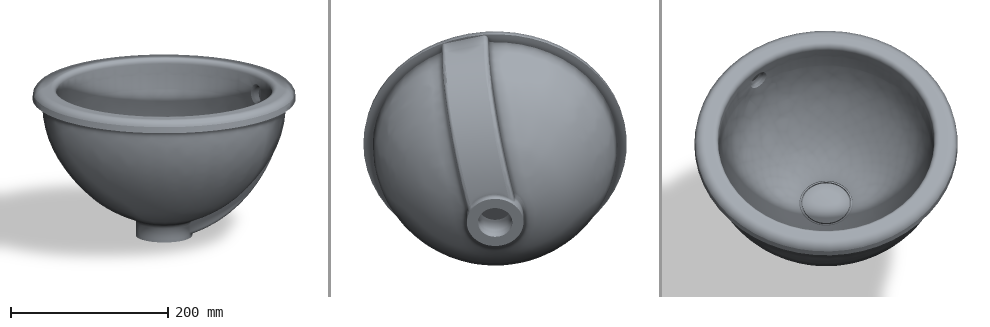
import cadquery as cq
import math

rim_radius = 167.5
rim_top = 195.0
rim_bottom = 180.0
rim_edge_top = 187.5
rim_edge_radius = 166.5
rim_flat_outer = 155.5

outer_radius = 155.5
wall = 18.0
inner_radius = outer_radius - wall
lip_radius = 6.7
rim_flat_inner = inner_radius + lip_radius
lip_bottom = rim_top - lip_radius
bend_angle = math.radians(42.5)
mid_angle = (math.pi / 2 + bend_angle) / 2
foot_angle = math.radians(22)
straight_down = (0, -1)
foot_direction = (-math.cos(foot_angle), -math.sin(foot_angle))

tail_radius = 72.0 / 2
neck_radius = 39.0
neck_top = 23.5
neck_bottom = 18.8
tail_bore = 52.0

channel_width = 60.3
channel_radius = 161.8
channel_center_z = 164.0
channel_top_y = 164.0
channel_rounding = 5.0
joint_rounding = 2.7
hole_diameter = 20.0
hole_mouth_diameter = 25.5
hole_z = 167.0
hole_depth = 9.0
mouth_depth = 2.5
mouth_lead = 1.0

flange_radius = 34.0
flange_top = 41.5
flange_thickness = 5.5
flange_chamfer = 1.0
seat_radius = 31.8
seat_depth = 2.7
drain_bore = 44.0
plug_diameter = 60.0
plug_edge_height = 2.7
plug_dome_height = 2.7

flange_bottom = flange_top - flange_thickness
seat_z = flange_top - seat_depth


def sphere_point(radius, angle):
    """Point (r, z) on a wall sphere where the surface rises at the given angle."""
    return (radius * math.sin(angle), rim_bottom - radius * math.cos(angle))


def wall_points(radius):
    """Points on the spherical part of a wall, from the middle down to the bend."""
    return [sphere_point(radius, angle) for angle in (mid_angle, bend_angle)]


def make_bowl():
    """Solid bowl with rim and tail, before hollowing."""
    tail = (
        cq.Workplane("XZ")
        .moveTo(0, 0)
        .lineTo(tail_radius, 0)
        .lineTo(tail_radius, neck_bottom)
        .tangentArcPoint((neck_radius, neck_top), relative=False)
        .lineTo(0, neck_top)
        .close()
        .revolve(360, (0, 0, 0), (0, 1, 0))
    )
    shell = (
        cq.Workplane("XZ")
        .moveTo(0, rim_top)
        .lineTo(rim_flat_outer, rim_top)
        .tangentArcPoint((rim_edge_radius, rim_edge_top), relative=False)
        .lineTo(rim_radius, rim_bottom)
        .lineTo(outer_radius, rim_bottom)
        .spline(
            wall_points(outer_radius) + [(neck_radius, neck_top)],
            tangents=[straight_down, foot_direction],
            includeCurrent=True,
        )
        .lineTo(0, neck_top)
        .close()
        .revolve(360, (0, 0, 0), (0, 1, 0))
    )
    return shell.union(tail)


def make_channel():
    """Curved overflow channel with rounded back edges, on the +Y side."""
    diagonal = channel_radius * math.sqrt(0.5)
    end_angle = math.asin(tail_radius / 2 / channel_radius)
    end_y = channel_radius * math.sin(end_angle)
    end_z = channel_center_z - channel_radius * math.cos(end_angle)
    back_edges = cq.selectors.BoxSelector(
        (-channel_width, tail_radius, 0), (channel_width, channel_top_y, rim_bottom - channel_rounding)
    )
    return (
        cq.Workplane("YZ")
        .moveTo(end_y, end_z)
        .threePointArc((diagonal, channel_center_z - diagonal), (channel_radius, channel_center_z))
        .lineTo(channel_top_y, rim_bottom)
        .lineTo(end_y, rim_bottom)
        .close()
        .extrude(channel_width / 2, both=True)
        .edges(back_edges)
        .edges("not |X")
        .fillet(channel_rounding)
    )


def make_cavity():
    """Inside of the bowl, with the flange recess and the tail bore."""
    return (
        cq.Workplane("XZ")
        .moveTo(0, rim_top)
        .lineTo(rim_flat_inner, rim_top)
        .radiusArc((inner_radius, lip_bottom), -lip_radius)
        .spline(
            wall_points(inner_radius) + [(flange_radius, flange_top)],
            tangents=[straight_down, foot_direction],
            includeCurrent=True,
        )
        .lineTo(flange_radius, flange_bottom)
        .lineTo(tail_bore / 2, flange_bottom)
        .lineTo(tail_bore / 2, 0)
        .lineTo(0, 0)
        .close()
        .revolve(360, (0, 0, 0), (0, 1, 0))
    )


def make_overflow_hole():
    """Blind hole square to the inner wall, with a conical mouth."""
    drop = rim_bottom - hole_z
    wall_y = math.sqrt(inner_radius**2 - drop**2)
    outward = cq.Vector(0, wall_y, -drop).normalized()
    mouth_plane = cq.Plane((0, wall_y, hole_z), (1, 0, 0), outward)
    bore = (
        cq.Workplane(mouth_plane)
        .workplane(offset=-hole_diameter / 2)
        .circle(hole_diameter / 2)
        .extrude(hole_depth + hole_diameter / 2)
    )
    mouth = (
        cq.Workplane(mouth_plane)
        .workplane(offset=-mouth_lead)
        .circle(hole_mouth_diameter / 2)
        .workplane(offset=mouth_lead + mouth_depth)
        .circle(hole_diameter / 2)
        .loft()
    )
    return bore.union(mouth)


def make_basin():
    body = make_bowl().union(make_channel())
    joint_edges = cq.selectors.BoxSelector(
        (-channel_width, tail_radius, neck_top), (channel_width, outer_radius, rim_bottom)
    )
    body = body.edges(joint_edges).edges("%BSPLINE").fillet(joint_rounding)
    return body.cut(make_cavity()).cut(make_overflow_hole())


def make_drain():
    """Flanged drain tube that fills the recess and the tail bore."""
    return (
        cq.Workplane("XZ")
        .moveTo(drain_bore / 2, 0)
        .lineTo(tail_bore / 2, 0)
        .lineTo(tail_bore / 2, flange_bottom)
        .lineTo(flange_radius, flange_bottom)
        .lineTo(flange_radius, flange_top - flange_chamfer)
        .lineTo(flange_radius - flange_chamfer, flange_top)
        .lineTo(seat_radius, flange_top)
        .lineTo(seat_radius, seat_z)
        .lineTo(drain_bore / 2, seat_z)
        .close()
        .revolve(360, (0, 0, 0), (0, 1, 0))
    )


def make_plug():
    """Domed disc resting in the flange seat."""
    radius = plug_diameter / 2
    edge_z = seat_z + plug_edge_height
    dome_radius = (radius**2 + plug_dome_height**2) / (2 * plug_dome_height)
    mid_r = radius / 2
    mid_z = edge_z + plug_dome_height - dome_radius + math.sqrt(dome_radius**2 - mid_r**2)
    return (
        cq.Workplane("XZ")
        .moveTo(0, seat_z)
        .lineTo(radius, seat_z)
        .lineTo(radius, edge_z)
        .threePointArc((mid_r, mid_z), (0, edge_z + plug_dome_height))
        .close()
        .revolve(360, (0, 0, 0), (0, 1, 0))
    )


basin = make_basin().solids()
drain = make_drain()
plug = make_plug()

result = cq.Compound.makeCompound([basin.val(), drain.val(), plug.val()])